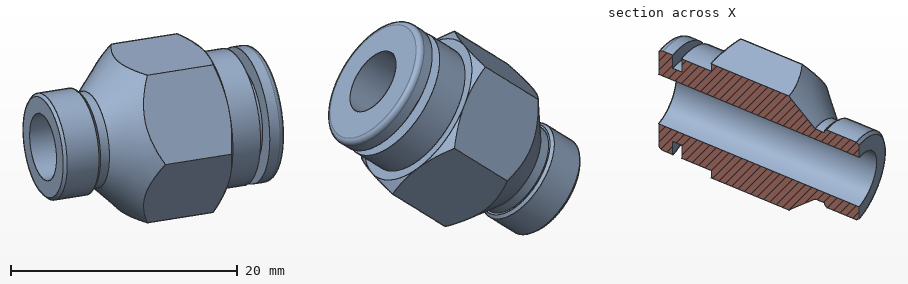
import cadquery as cq
import math

length = 20.6
thread_end = 3.58
neck_end = 4.51
hex_end = 15.2
body_end = 18.23
collar_start = 19.12

hex_sides = 6
across_flats = 14.0
thread_radius = 4.78
neck_radius = 4.33
body_radius = 6.12
groove_radius = 4.51
bore_radius = 3.0

thread_chamfer = 0.27
collar_fillet = 0.5
hex_chamfer_angle = 30.0
envelope_margin = 0.2

flat_radius = across_flats / 2
corner_radius = flat_radius / math.cos(math.pi / hex_sides)


def revolve_profile(points):
    """Revolve a closed (radius, y) profile about the Y axis."""
    return cq.Workplane("XY").polyline(points).close().revolve(360, (0, 0, 0), (0, 1, 0))


def cylinder(radius, start, end):
    """Cylinder along Y between two stations."""
    return cq.Workplane("XZ", origin=(0, start, 0)).circle(radius).extrude(start - end)


def hex_nut():
    """Hexagon trimmed by a 45 degree front cone and a shallow rear cone."""
    prism = (
        cq.Workplane("XZ", origin=(0, neck_end, 0))
        .polygon(hex_sides, 2 * corner_radius)
        .extrude(neck_end - hex_end)
    )
    envelope_radius = corner_radius + envelope_margin
    front_cone_length = envelope_radius - neck_radius
    rear_cone_length = (envelope_radius - flat_radius) * math.tan(math.radians(hex_chamfer_angle))
    envelope = revolve_profile([
        (0, neck_end),
        (neck_radius, neck_end),
        (envelope_radius, neck_end + front_cone_length),
        (envelope_radius, hex_end - rear_cone_length),
        (flat_radius, hex_end),
        (0, hex_end),
    ])
    return prism.intersect(envelope)


thread = cylinder(thread_radius, 0, thread_end).edges().chamfer(thread_chamfer)
neck = cylinder(neck_radius, thread_end, neck_end)
body = cylinder(body_radius, hex_end, body_end)
groove = cylinder(groove_radius, body_end, collar_start)
collar = cylinder(body_radius, collar_start, length).edges(">Y").fillet(collar_fillet)
bore = cylinder(bore_radius, 0, length)

fitting = thread.union(neck).union(hex_nut()).union(body).union(groove).union(collar)
result = fitting.cut(bore).translate((0, -length / 2, 0))